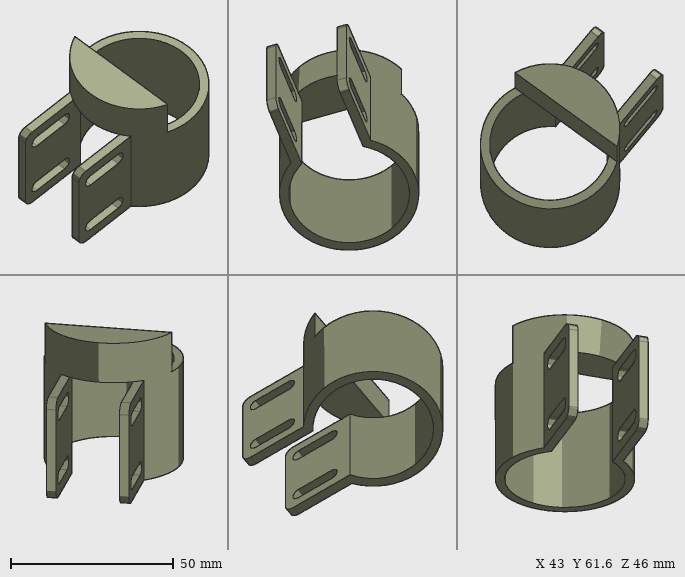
import cadquery as cq
import math

ring_outer_radius = 43.0 / 2
ring_inner_radius = 37.2 / 2
ring_height = 33.0

total_height = 46.0
cap_flat_y = -8.0

plate_gap = 20.0
plate_thickness = 3.0
plate_end_y = -40.1
plate_corner_radius = 3.0
plate_center_x = (plate_gap + plate_thickness) / 2

slot_length = 16.6
slot_width = 4.4
slot_center_y = -28.9
slot_edge_offset = 6.0


def make_body():
    """Ring and cap cut from one cylinder, so that they share the outer wall."""
    cylinder = cq.Workplane("XY").circle(ring_outer_radius).extrude(total_height)
    bore = cq.Workplane("XY").circle(ring_inner_radius).extrude(ring_height)
    space_beside_cap = (
        cq.Workplane("XY")
        .box(
            2 * ring_outer_radius,
            ring_outer_radius - cap_flat_y,
            total_height - ring_height,
            centered=(True, False, False),
        )
        .translate((0, cap_flat_y, ring_height))
    )
    return cylinder.cut(bore).cut(space_beside_cap)


def make_ring_opening():
    """Gap in the -Y ring wall, flush with the inner faces of the plates."""
    return (
        cq.Workplane("XY")
        .box(plate_gap, ring_outer_radius, ring_height, centered=(True, False, False))
        .translate((0, -ring_outer_radius, 0))
    )


def make_plate(center_x):
    """Slotted plate with rounded free corners, rooted in the ring wall."""
    outer_face_x = plate_gap / 2 + plate_thickness
    root_y = -math.sqrt(ring_outer_radius**2 - outer_face_x**2)
    plate = (
        cq.Workplane("XY")
        .box(plate_thickness, root_y - plate_end_y, ring_height, centered=(True, False, False))
        .translate((center_x, plate_end_y, 0))
        .edges("|X and <Y")
        .fillet(plate_corner_radius)
    )
    slot_centers = [
        (slot_center_y, slot_edge_offset),
        (slot_center_y, ring_height - slot_edge_offset),
    ]
    slots = (
        cq.Workplane("YZ")
        .workplane(offset=center_x - plate_thickness / 2)
        .pushPoints(slot_centers)
        .slot2D(slot_length, slot_width)
        .extrude(plate_thickness)
    )
    return plate.cut(slots)


result = make_body().cut(make_ring_opening())
for side in (-1, 1):
    result = result.union(make_plate(side * plate_center_x))